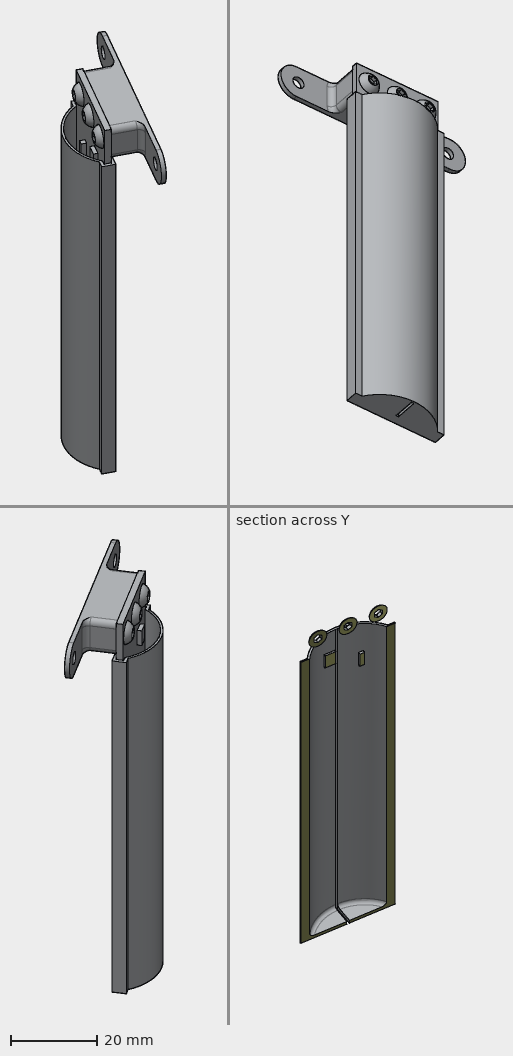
import cadquery as cq
import math

TOTAL_HEIGHT = 101.1
TOTAL_DEPTH = 17.2

BRACKET_SPAN = 53.4
BRACKET_HEIGHT = 9.0
BRACKET_DEPTH = 9.0
EAR_THICKNESS = 1.2
EAR_HOLE_DIAMETER = 3.1
EAR_HOLE_X = 21.6
BLOCK_EDGE_RADIUS = 1.5
COVE_RADIUS = 1.5

BOARD_WIDTH = 23.7
BOARD_THICKNESS = 1.6

COVER_WIDTH = 25.6
COVER_HEIGHT = 91.3
COVER_WALL = 0.8
DOME_WALL = 0.6
DOME_CHORD = 21.8
SLOT_CLEARANCE = 0.2
FLOOR_THICKNESS = 1.0
FLOOR_FILLET = 1.0
SLIT_WIDTH = 0.66

CONNECTOR_X = 4.8
CONNECTOR_SIZE = (2.9, 1.1, 4.0)
CONNECTOR_TOP_Z = 90.1
CHIP_X = -3.8
CHIP_SIZE = (1.3, 1.3, 4.0)
CHIP_TOP_Z = 85.9

SCREW_COUNT = 3
SCREW_PITCH = 8.2
SCREW_HEAD_DIAMETER = 5.8
SCREW_HEAD_HEIGHT = 1.6
SCREW_FLAT_DIAMETER = 2.8
SCREW_SHANK_DIAMETER = 2.9
SCREW_LENGTH = 6.1
SOCKET_SIDES = 6
SOCKET_ACROSS_FLATS = 2.0
SOCKET_DEPTH = 1.0
SOCKET_POINT_DEPTH = 0.1

FIXING_Z = TOTAL_HEIGHT - BRACKET_HEIGHT / 2
BOARD_BACK_Y = -BRACKET_DEPTH
BOARD_FRONT_Y = BOARD_BACK_Y - BOARD_THICKNESS
SCREW_XS = [(i - (SCREW_COUNT - 1) / 2) * SCREW_PITCH for i in range(SCREW_COUNT)]


def box(x_range, y_range, z_range):
    """Box between two limits on each axis."""
    (x0, x1), (y0, y1), (z0, z1) = x_range, y_range, z_range
    return cq.Workplane("XY").box(x1 - x0, y1 - y0, z1 - z0, centered=False).translate((x0, y0, z0))


def cylinder_toward_front(diameter, x, z, back_y, front_y):
    """Cylinder along Y, from back_y forward (toward -Y) to front_y."""
    disc = cq.Workplane("XZ", origin=(x, back_y, z)).circle(diameter / 2)
    return disc.extrude(back_y - front_y)


def make_shank(x):
    """Plain screw shank that fills the holes in the board and the bracket."""
    tip_y = BOARD_FRONT_Y + SCREW_LENGTH
    return cylinder_toward_front(SCREW_SHANK_DIAMETER, x, FIXING_Z, tip_y, BOARD_FRONT_Y)


def cut_screw_holes(body):
    """Body with a hole for each screw shank."""
    for x in SCREW_XS:
        body = body.cut(make_shank(x))
    return body


def make_cove():
    """Concave fillet between the ear and the rounded end of the block, on the +X side."""
    corner_x = BOARD_WIDTH / 2 - BLOCK_EDGE_RADIUS
    corner_z = BRACKET_HEIGHT / 2 - BLOCK_EDGE_RADIUS
    inner = BLOCK_EDGE_RADIUS
    outer = BLOCK_EDGE_RADIUS + COVE_RADIUS
    bend = COVE_RADIUS * (1 - math.sqrt(0.5))
    front_y = -EAR_THICKNESS - COVE_RADIUS

    def profile(z):
        return (
            cq.Workplane("XY", origin=(corner_x, 0, z))
            .moveTo(0, -EAR_THICKNESS / 2)
            .lineTo(outer, -EAR_THICKNESS / 2)
            .lineTo(outer, -EAR_THICKNESS)
            .threePointArc((inner + bend, -EAR_THICKNESS - bend), (inner, front_y))
            .lineTo(0, front_y)
            .close()
        )

    cove = profile(-corner_z).extrude(2 * corner_z)
    for z in (-corner_z, corner_z):
        cove = cove.union(profile(z).revolve(360, (0, 0, 0), (0, 1, 0)))
    half_height = BRACKET_HEIGHT / 2
    keep = box((0, BRACKET_SPAN / 2), (-BRACKET_DEPTH, 0), (-half_height, half_height))
    return cove.intersect(keep).translate((0, 0, FIXING_Z))


def make_bracket():
    """Solid block with rounded edges, and a flat ear with a fixing hole on either side."""
    ears = (
        cq.Workplane("XZ", origin=(0, 0, FIXING_Z))
        .slot2D(BRACKET_SPAN, BRACKET_HEIGHT)
        .extrude(EAR_THICKNESS)
    )
    block = (
        cq.Workplane("XZ", origin=(0, 0, FIXING_Z))
        .rect(BOARD_WIDTH, BRACKET_HEIGHT)
        .extrude(BRACKET_DEPTH)
        .edges("|Y")
        .fillet(BLOCK_EDGE_RADIUS)
    )
    cove = make_cove()
    bracket = ears.union(block).union(cove).union(cove.mirror("YZ"))
    for x in (-EAR_HOLE_X, EAR_HOLE_X):
        bracket = bracket.cut(cylinder_toward_front(EAR_HOLE_DIAMETER, x, FIXING_Z, 0, -EAR_THICKNESS))
    return cut_screw_holes(bracket)


def make_board():
    """Long board with its two small components on the front face."""
    half = BOARD_WIDTH / 2
    board = box((-half, half), (BOARD_FRONT_Y, BOARD_BACK_Y), (FLOOR_THICKNESS, TOTAL_HEIGHT))
    for x, size, top_z in (
        (CONNECTOR_X, CONNECTOR_SIZE, CONNECTOR_TOP_Z),
        (CHIP_X, CHIP_SIZE, CHIP_TOP_Z),
    ):
        width, depth, height = size
        board = board.union(
            box(
                (x - width / 2, x + width / 2),
                (BOARD_FRONT_Y - depth, BOARD_FRONT_Y),
                (top_z - height, top_z),
            )
        )
    return cut_screw_holes(board)


def dome_outline(radius, axis_y, straight_y):
    """Region between the chord at straight_y and the arc in front of it."""
    half_chord = math.sqrt(radius**2 - (axis_y - straight_y) ** 2)
    return (
        cq.Workplane("XY")
        .moveTo(-half_chord, straight_y)
        .threePointArc((0, axis_y - radius), (half_chord, straight_y))
        .close()
    )


def make_cover():
    """Domed sleeve around the board, closed at the bottom by a floor with a narrow slit."""
    half = COVER_WIDTH / 2
    slot_half = half - COVER_WALL
    cover_back_y = BOARD_BACK_Y + COVER_WALL
    slot_front_y = BOARD_FRONT_Y - SLOT_CLEARANCE
    rail_front_y = slot_front_y - COVER_WALL

    dome_rise = TOTAL_DEPTH + rail_front_y
    dome_radius = ((DOME_CHORD / 2) ** 2 + dome_rise**2) / (2 * dome_rise)
    dome_axis_y = dome_radius - TOTAL_DEPTH
    inner_radius = dome_radius - DOME_WALL

    rails = box((-half, half), (rail_front_y, cover_back_y), (0, COVER_HEIGHT))
    dome = dome_outline(dome_radius, dome_axis_y, rail_front_y).extrude(COVER_HEIGHT)
    cavity = (
        dome_outline(inner_radius, dome_axis_y, slot_front_y)
        .extrude(COVER_HEIGHT)
        .faces("<Z")
        .edges("%CIRCLE")
        .fillet(FLOOR_FILLET)
        .translate((0, 0, FLOOR_THICKNESS))
    )
    slot = box((-slot_half, slot_half), (slot_front_y, BOARD_BACK_Y), (FLOOR_THICKNESS, COVER_HEIGHT))
    slit = box(
        (-SLIT_WIDTH / 2, SLIT_WIDTH / 2),
        (dome_axis_y - inner_radius, BOARD_FRONT_Y),
        (0, COVER_HEIGHT),
    )
    return rails.union(dome).cut(cavity).cut(slot).cut(slit)


def make_socket_point(x, base_y):
    """Shallow six-sided pyramid that ends the socket, pointing toward +Y."""
    corner_radius = SOCKET_ACROSS_FLATS / 2 / math.cos(math.pi / SOCKET_SIDES)
    corners = []
    for i in range(SOCKET_SIDES):
        angle = math.pi / 2 + 2 * math.pi * i / SOCKET_SIDES
        corner_x = x + corner_radius * math.cos(angle)
        corner_z = FIXING_Z + corner_radius * math.sin(angle)
        corners.append(cq.Vector(corner_x, base_y, corner_z))
    tip = cq.Vector(x, base_y + SOCKET_POINT_DEPTH, FIXING_Z)
    faces = [cq.Face.makeFromWires(cq.Wire.makePolygon(corners, close=True))]
    for i, corner in enumerate(corners):
        side = cq.Wire.makePolygon([corners[i - 1], corner, tip], close=True)
        faces.append(cq.Face.makeFromWires(side))
    return cq.Workplane(cq.Solid.makeSolid(cq.Shell.makeShell(faces)))


def make_screw(x):
    """Button-head screw with a hexagon socket, pointing toward +Y."""
    head_radius = SCREW_HEAD_DIAMETER / 2
    flat_radius = SCREW_FLAT_DIAMETER / 2
    rim_offset = (head_radius**2 - flat_radius**2 - SCREW_HEAD_HEIGHT**2) / (2 * SCREW_HEAD_HEIGHT)
    sphere_radius = math.hypot(head_radius, rim_offset)
    middle_radius = (head_radius + flat_radius) / 2
    middle_height = math.sqrt(sphere_radius**2 - middle_radius**2) - rim_offset

    head = (
        cq.Workplane("XY")
        .lineTo(head_radius, 0)
        .threePointArc((middle_radius, -middle_height), (flat_radius, -SCREW_HEAD_HEIGHT))
        .lineTo(0, -SCREW_HEAD_HEIGHT)
        .close()
        .revolve(360, (0, 0, 0), (0, 1, 0))
        .translate((x, BOARD_FRONT_Y, FIXING_Z))
    )
    head_front_y = BOARD_FRONT_Y - SCREW_HEAD_HEIGHT
    socket = (
        cq.Workplane("XZ", origin=(x, head_front_y + SOCKET_DEPTH, FIXING_Z))
        .transformed(rotate=(0, 0, 90))
        .polygon(SOCKET_SIDES, SOCKET_ACROSS_FLATS / math.cos(math.pi / SOCKET_SIDES))
        .extrude(SOCKET_DEPTH)
    )
    socket = socket.union(make_socket_point(x, head_front_y + SOCKET_DEPTH))
    return head.cut(socket).union(make_shank(x))


bracket = make_bracket()
board = make_board()
cover = make_cover()
screws = [make_screw(x) for x in SCREW_XS]

result = cq.Compound.makeCompound(
    [bracket.val(), board.val(), cover.val(), *(screw.val() for screw in screws)]
)